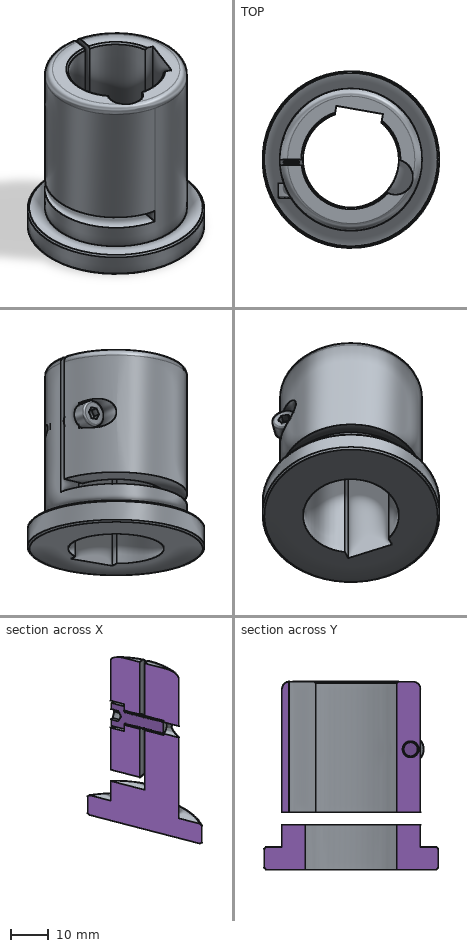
import cadquery as cq
import math

TOTAL_HEIGHT = 50.0
FLANGE_RADIUS = 23.5
FLANGE_HEIGHT = 6.1
FLANGE_CHAMFER = 0.5
SLEEVE_RADIUS = 18.9
SLEEVE_TOP_FILLET = 2.0
BORE_RADIUS = 12.7
BORE_CHAMFER = 0.5

KEYWAY_WIDTH = 12.5
KEYWAY_FLOOR_DISTANCE = 13.35
KEYWAY_ANGLE = -10.0

SLOT_BOTTOM = 12.0
SLOT_HEIGHT = 3.25
SLIT_WIDTH = 1.45

POCKET_RADIUS = 4.65
POCKET_AXIS_DISTANCE = BORE_RADIUS
POCKET_ANGLE = -21.5

SCREW_X = -15.8
SCREW_Z = 32.0
SEAT_Y = -6.25
HEAD_RADIUS = 3.5
HEAD_HEIGHT = 4.0
HEAD_FILLET = 0.5
SHANK_RADIUS = 2.1
THREAD_PITCH = 0.7
THREAD_ROOT_RADIUS = 1.65
SHANK_LENGTH = 12.0
SOCKET_ACROSS_FLATS = 3.0
SOCKET_DEPTH = 2.0
SOCKET_TIP_ANGLE = 120.0
COUNTERBORE_RADIUS = 4.0
TAP_HOLE_RADIUS = THREAD_ROOT_RADIUS


def cylinder_along_y(radius, start_y, end_y):
    """Cylinder on the screw axis, from start_y to end_y."""
    plane = cq.Plane(origin=(SCREW_X, start_y, SCREW_Z), xDir=(1, 0, 0), normal=(0, 1, 0))
    return cq.Workplane(plane).circle(radius).extrude(end_y - start_y)


def make_sleeve():
    """Flange and sleeve with their edge breaks and the central bore."""
    flange = cq.Workplane("XY").circle(FLANGE_RADIUS).extrude(FLANGE_HEIGHT).edges().chamfer(FLANGE_CHAMFER)
    sleeve = cq.Workplane("XY").circle(SLEEVE_RADIUS).extrude(TOTAL_HEIGHT)
    sleeve = sleeve.faces(">Z").edges().fillet(SLEEVE_TOP_FILLET)
    bore = cq.Workplane("XY").circle(BORE_RADIUS).extrude(TOTAL_HEIGHT)
    bored = flange.union(sleeve).cut(bore)
    return bored.faces(">Z").edges(cq.selectors.RadiusNthSelector(0)).chamfer(BORE_CHAMFER)


def make_keyway():
    """Block that cuts the keyway through the full height."""
    block = cq.Workplane("XY").rect(KEYWAY_WIDTH, KEYWAY_FLOOR_DISTANCE).extrude(TOTAL_HEIGHT)
    block = block.translate((0, KEYWAY_FLOOR_DISTANCE / 2, 0))
    return block.rotate((0, 0, 0), (0, 0, 1), KEYWAY_ANGLE)


def make_clamp_cuts():
    """Slot under the -Y half of the sleeve, and the slit above it on the -X side."""
    slot = cq.Workplane("XY").box(
        2 * FLANGE_RADIUS, FLANGE_RADIUS, SLOT_HEIGHT, centered=(True, False, False)
    ).translate((0, -FLANGE_RADIUS, SLOT_BOTTOM))
    slit = cq.Workplane("XY").box(
        FLANGE_RADIUS, SLIT_WIDTH, TOTAL_HEIGHT - SLOT_BOTTOM, centered=False
    ).translate((-FLANGE_RADIUS, -SLIT_WIDTH, SLOT_BOTTOM))
    return slot.union(slit)


def make_pocket():
    """Round pocket running down from the top into the slot."""
    angle = math.radians(POCKET_ANGLE)
    center = (POCKET_AXIS_DISTANCE * math.cos(angle), POCKET_AXIS_DISTANCE * math.sin(angle))
    pocket = cq.Workplane("XY").workplane(offset=SLOT_BOTTOM).center(*center).circle(POCKET_RADIUS)
    return pocket.extrude(TOTAL_HEIGHT - SLOT_BOTTOM)


def make_screw_hole():
    """Counterbore for the head, a hole that fits the shank, and the tap hole beyond it."""
    counterbore = cylinder_along_y(COUNTERBORE_RADIUS, -SLEEVE_RADIUS, SEAT_Y)
    shank_hole = cylinder_along_y(SHANK_RADIUS, SEAT_Y, SEAT_Y + SHANK_LENGTH)
    tap_hole = cylinder_along_y(TAP_HOLE_RADIUS, SEAT_Y, SLEEVE_RADIUS)
    return counterbore.union(shank_hole).union(tap_hole)


def make_housing():
    housing = make_sleeve()
    for cutter in (make_keyway(), make_clamp_cuts(), make_pocket(), make_screw_hole()):
        housing = housing.cut(cutter)
    return housing


def make_shank():
    """Shank with evenly spaced V-shaped thread ridges, cut off flat at the tip."""
    end_y = SEAT_Y + SHANK_LENGTH
    ridge_count = math.floor(SHANK_LENGTH / THREAD_PITCH)
    profile = [(0, end_y), (0, SEAT_Y), (SHANK_RADIUS, SEAT_Y)]
    for ridge in range(ridge_count):
        crest_y = SEAT_Y + (ridge + 1) * THREAD_PITCH
        profile.append((THREAD_ROOT_RADIUS, crest_y - THREAD_PITCH / 2))
        profile.append((SHANK_RADIUS, crest_y))
    profile.append((SHANK_RADIUS, end_y))
    axis_plane = cq.Plane(origin=(SCREW_X, 0, SCREW_Z), xDir=(1, 0, 0), normal=(0, 0, 1))
    return cq.Workplane(axis_plane).polyline(profile).close().revolve(360, (0, 0), (0, 1))


def make_socket(mouth_y):
    """Hexagonal socket whose bottom is a cone reaching to the corners of the hexagon."""
    corner_radius = SOCKET_ACROSS_FLATS / 2 / math.cos(math.pi / 6)
    cone_depth = corner_radius / math.tan(math.radians(SOCKET_TIP_ANGLE / 2))
    tip_depth = SOCKET_DEPTH + cone_depth
    mouth = cq.Plane(origin=(SCREW_X, mouth_y, SCREW_Z), xDir=(1, 0, 0), normal=(0, 1, 0))
    hexagon = cq.Workplane(mouth).polygon(6, 2 * corner_radius).extrude(tip_depth)
    axis_plane = cq.Plane(origin=(SCREW_X, mouth_y, SCREW_Z), xDir=(1, 0, 0), normal=(0, 0, 1))
    drill_profile = [(0, 0), (corner_radius, 0), (corner_radius, SOCKET_DEPTH), (0, tip_depth)]
    drill = cq.Workplane(axis_plane).polyline(drill_profile).close().revolve(360, (0, 0), (0, 1))
    return hexagon.intersect(drill)


def make_screw():
    """Socket head screw: filleted head, threaded shank, hexagonal socket."""
    head_end_y = SEAT_Y - HEAD_HEIGHT
    head = cylinder_along_y(HEAD_RADIUS, head_end_y, SEAT_Y).faces("<Y").edges().fillet(HEAD_FILLET)
    return head.union(make_shank()).cut(make_socket(head_end_y))


housing = make_housing()
screw = make_screw()

result = cq.Compound.makeCompound([housing.val(), screw.val()])